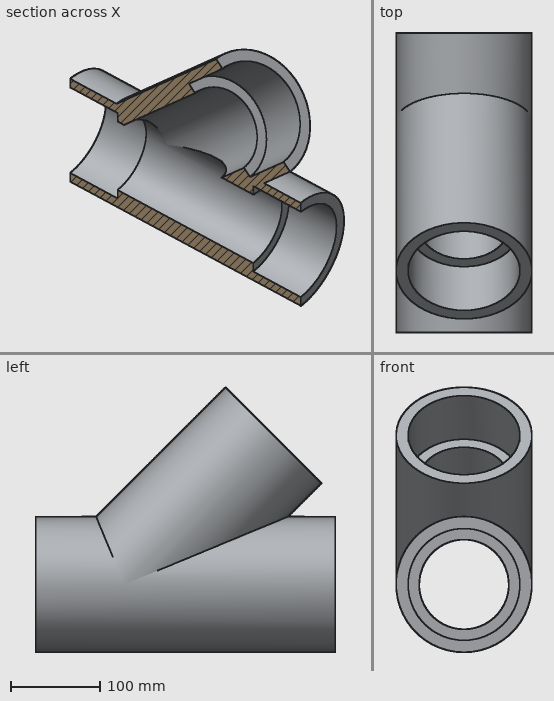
import cadquery as cq
import math

OUTER_DIAMETER = 152.0
SOCKET_DIAMETER = 125.0
BORE_DIAMETER = 100.0
SOCKET_DEPTH = 69.0

RUN_LENGTH = 335.0
LONG_ARM = 236.0
SHORT_ARM = RUN_LENGTH - LONG_ARM
BRANCH_LENGTH = LONG_ARM
BRANCH_ANGLE = math.radians(45.0)

FRONT_DIRECTION = cq.Vector(0, -1, 0)
BACK_DIRECTION = cq.Vector(0, 1, 0)
BRANCH_DIRECTION = cq.Vector(0, -math.cos(BRANCH_ANGLE), math.sin(BRANCH_ANGLE))

ARMS = [
    (FRONT_DIRECTION, LONG_ARM),
    (BACK_DIRECTION, SHORT_ARM),
    (BRANCH_DIRECTION, BRANCH_LENGTH),
]


def cylinder(diameter, direction, start, end):
    """Cylinder on an axis through the origin, between two distances along it."""
    base = direction * start
    solid = cq.Solid.makeCylinder(diameter / 2, end - start, base, direction)
    return cq.Workplane(obj=solid)


def crossing_pipes(diameter):
    """Full-length run joined with the branch, as solid bars of one diameter."""
    run = cylinder(diameter, FRONT_DIRECTION, -SHORT_ARM, LONG_ARM)
    branch = cylinder(diameter, BRANCH_DIRECTION, 0, BRANCH_LENGTH)
    return run.union(branch)


def socket(direction, arm_length):
    """Wider pipe seat at the open end of an arm."""
    return cylinder(SOCKET_DIAMETER, direction, arm_length - SOCKET_DEPTH, arm_length)


result = crossing_pipes(OUTER_DIAMETER).cut(crossing_pipes(BORE_DIAMETER))
for arm_direction, arm_length in ARMS:
    result = result.cut(socket(arm_direction, arm_length))